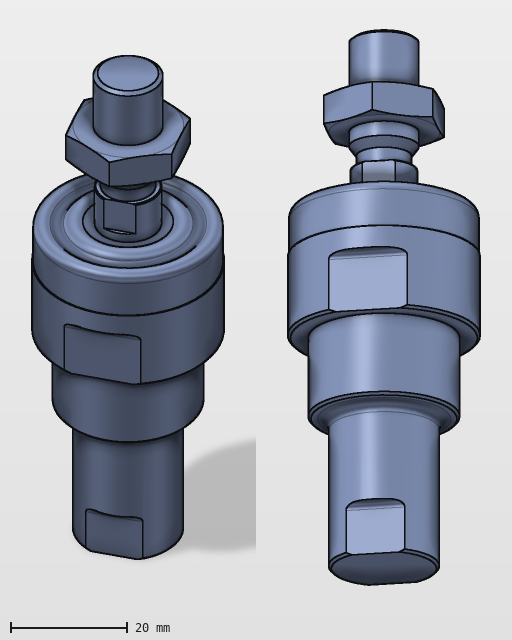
import cadquery as cq
import math

top_z = 96.0
rod_radius = 12.0 / 2
rod_chamfer_width = 0.8
rod_chamfer_height = 0.6
rod_bottom_z = 76.6

neck_radius = 9.5 / 2
neck_top_z = 74.9
collar_radius = 11.5 / 2
collar_top_z = 72.4
collar_chamfer = 0.2
collar_flat_width = 10.0
collar_flat_bottom_z = 66.2

cap_radius = 32.6 / 2
cap_side_top_z = 63.4
rim_crest_radius = 14.6
rim_crest_z = 65.1
groove_outer_radius = 13.4
groove_edge_z = 64.4
groove_depth = 0.6
ring_outer_radius = 11.1
ring_inner_radius = 7.8
ring_crest_z = 65.6
ring_inner_z = 64.8
collar_base_z = 64.5

body_radius = 33.0 / 2
body_top_z = 56.6
body_bottom_z = 41.9
sleeve_radius = 26.0 / 2
sleeve_bottom_z = 27.2
shank_radius = 19.0 / 2
shank_fillet = 1.9
edge_chamfer = 0.5

body_flat_width = 30.0
body_flat_top_z = 52.7
shank_flat_width = 16.0
shank_flat_top_z = 9.4
flat_end_fillet = 1.2

nut_across_flats = 19.0
nut_bottom_z = 79.2
nut_thickness = 5.9
nut_chamfer_angle = 15.0


def turned_coupling():
    """Revolved outline of the housing and its rod, from the bottom centre up."""
    fillet_mid = shank_fillet * (1 - math.sqrt(0.5))
    groove_mid_radius = (groove_outer_radius + ring_outer_radius) / 2
    ring_mid_radius = (ring_outer_radius + ring_inner_radius) / 2
    outline = (
        cq.Workplane("XZ")
        .lineTo(shank_radius - edge_chamfer, 0)
        .lineTo(shank_radius, edge_chamfer)
        .lineTo(shank_radius, sleeve_bottom_z - shank_fillet)
        .threePointArc(
            (shank_radius + fillet_mid, sleeve_bottom_z - fillet_mid),
            (shank_radius + shank_fillet, sleeve_bottom_z),
        )
        .lineTo(sleeve_radius - edge_chamfer, sleeve_bottom_z)
        .lineTo(sleeve_radius, sleeve_bottom_z + edge_chamfer)
        .lineTo(sleeve_radius, body_bottom_z)
        .lineTo(body_radius - edge_chamfer, body_bottom_z)
        .lineTo(body_radius, body_bottom_z + edge_chamfer)
        .lineTo(body_radius, body_top_z)
        .lineTo(cap_radius, body_top_z)
        .lineTo(cap_radius, cap_side_top_z)
        .threePointArc((rim_crest_radius, rim_crest_z), (groove_outer_radius, groove_edge_z))
        .threePointArc(
            (groove_mid_radius, groove_edge_z - groove_depth),
            (ring_outer_radius, groove_edge_z),
        )
        .threePointArc((ring_mid_radius, ring_crest_z), (ring_inner_radius, ring_inner_z))
        .lineTo(collar_radius, collar_base_z)
        .lineTo(collar_radius, collar_top_z - collar_chamfer)
        .lineTo(collar_radius - collar_chamfer, collar_top_z)
        .lineTo(neck_radius, collar_top_z)
        .lineTo(neck_radius, neck_top_z)
        .lineTo(rod_radius, rod_bottom_z)
        .lineTo(rod_radius, top_z - rod_chamfer_height)
        .lineTo(rod_radius - rod_chamfer_width, top_z)
        .lineTo(0, top_z)
        .close()
    )
    return outline.revolve(360, (0, 0, 0), (0, 1, 0))


def flat_cutters(width, radius, bottom_z, end_z, fillet_z=None, fillet=0.0):
    """Blocks outside two flats facing -Y and +Y, with one optional rounded inner edge."""
    clearance = 1.0
    depth = radius + clearance - width / 2
    cutters = []
    for side in (-1, 1):
        block = cq.Workplane("XY").box(2 * radius, depth, end_z - bottom_z, centered=(True, True, False))
        block = block.translate((0, side * (width + depth) / 2, bottom_z))
        if fillet_z is not None:
            inner_edge = cq.NearestToPointSelector((0, side * width / 2, fillet_z))
            block = block.edges("|X").edges(inner_edge).fillet(fillet)
        cutters.append(block)
    return cutters


def make_coupling():
    """Housing and rod with three pairs of wrench flats."""
    coupling = turned_coupling()
    cutters = (
        flat_cutters(collar_flat_width, collar_radius, collar_flat_bottom_z, collar_top_z)
        + flat_cutters(body_flat_width, body_radius, body_bottom_z, body_flat_top_z,
                       body_flat_top_z, flat_end_fillet)
        + flat_cutters(shank_flat_width, shank_radius, 0, shank_flat_top_z,
                       shank_flat_top_z, flat_end_fillet)
    )
    for cutter in cutters:
        coupling = coupling.cut(cutter)
    return coupling


def make_nut():
    """Hexagonal nut with corners along Y, conical corner chamfers and a bore fitting the rod."""
    corner_radius = nut_across_flats / math.sqrt(3)
    flat_radius = nut_across_flats / 2
    chamfer_height = (corner_radius - flat_radius) * math.tan(math.radians(nut_chamfer_angle))
    hexagon = (
        cq.Workplane("XY")
        .polygon(6, 2 * corner_radius)
        .circle(rod_radius)
        .extrude(nut_thickness)
        .rotate((0, 0, 0), (0, 0, 1), 90)
    )
    envelope = (
        cq.Workplane("XZ")
        .lineTo(flat_radius, 0)
        .lineTo(corner_radius, chamfer_height)
        .lineTo(corner_radius, nut_thickness - chamfer_height)
        .lineTo(flat_radius, nut_thickness)
        .lineTo(0, nut_thickness)
        .close()
        .revolve(360, (0, 0, 0), (0, 1, 0))
    )
    return hexagon.intersect(envelope).translate((0, 0, nut_bottom_z))


coupling = make_coupling()
nut = make_nut()

result = cq.Compound.makeCompound([coupling.val(), nut.val()])